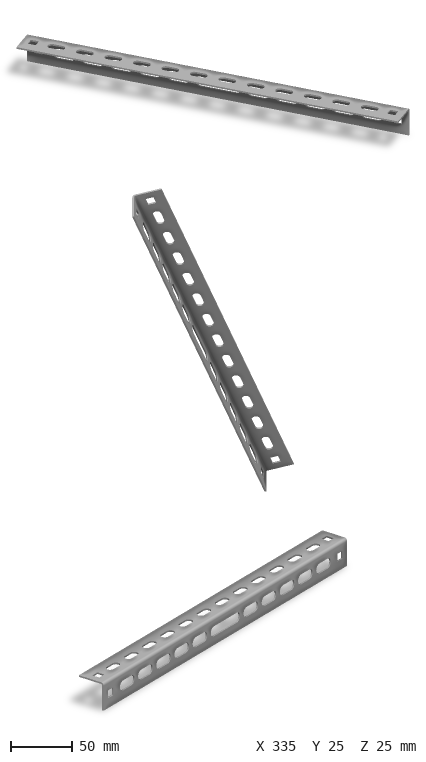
import cadquery as cq

rail_length = 335.0
leg_width = 25.0
thickness = 1.5
inner_bend_radius = 1.0
outer_bend_radius = inner_bend_radius + thickness

hole_line = leg_width / 2
end_hole_inset = 9.8
square_size = 7.0

slot_pitch = 25.0
top_slot_count = 12
top_slot_length = 15.0
top_slot_width = square_size

back_slots_per_side = 5
back_slot_length = 20.0
back_slot_width = 9.0
middle_slot_length = 40.0
back_slot_gap = slot_pitch - back_slot_length

square_centers = [(side * (rail_length / 2 - end_hole_inset), 0) for side in (-1, 1)]


def angle_profile():
    """Solid angle with a rounded bend, before the openings are cut."""
    blank = cq.Workplane("XY").box(rail_length, leg_width, leg_width).translate(
        (0, -leg_width / 2, -leg_width / 2)
    )
    blank = blank.edges("|X and >Y and >Z").fillet(outer_bend_radius)
    hollow = cq.Workplane("XY").box(rail_length, leg_width, leg_width).translate(
        (0, -leg_width / 2 - thickness, -leg_width / 2 - thickness)
    )
    hollow = hollow.edges("|X and >Y and >Z").fillet(inner_bend_radius)
    return blank.cut(hollow)


def square_cutters(plane):
    """Square openings near both ends of a leg."""
    return plane.pushPoints(square_centers).rect(square_size, square_size).extrude(-thickness)


def slot_cutters(plane, centers, length, width):
    """Round-ended slots lying along X."""
    points = [(x, 0) for x in centers]
    return plane.pushPoints(points).slot2D(length, width).extrude(-thickness)


def cut_top_leg(rail):
    """Evenly spaced short slots and end squares through the horizontal leg."""
    plane = cq.Workplane("XY", origin=(0, -hole_line, 0))
    first_center = -slot_pitch * (top_slot_count - 1) / 2
    centers = [first_center + i * slot_pitch for i in range(top_slot_count)]
    rail = rail.cut(slot_cutters(plane, centers, top_slot_length, top_slot_width))
    return rail.cut(square_cutters(plane))


def cut_back_leg(rail):
    """One long middle slot, flanking slots and end squares through the vertical leg."""
    plane = cq.Workplane("XZ", origin=(0, -thickness, -hole_line))
    first_offset = middle_slot_length / 2 + back_slot_gap + back_slot_length / 2
    offsets = [first_offset + i * slot_pitch for i in range(back_slots_per_side)]
    centers = [side * offset for side in (-1, 1) for offset in offsets]
    rail = rail.cut(slot_cutters(plane, centers, back_slot_length, back_slot_width))
    rail = rail.cut(slot_cutters(plane, [0], middle_slot_length, back_slot_width))
    return rail.cut(square_cutters(plane))


result = cut_back_leg(cut_top_leg(angle_profile()))